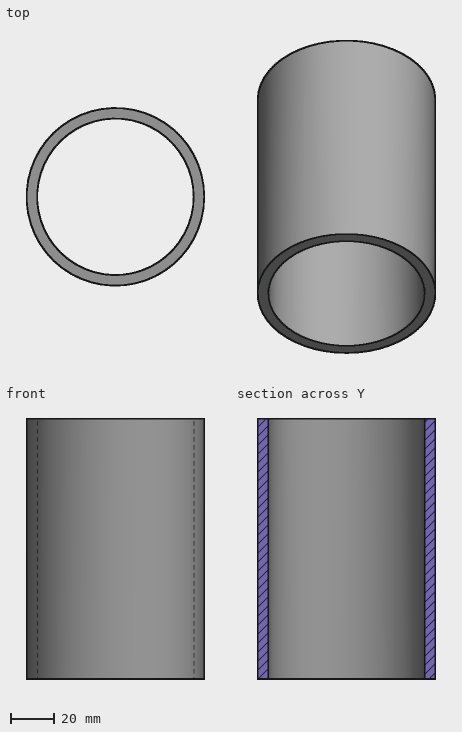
import cadquery as cq

height = 120.0
outer_diameter = 82.0
inner_diameter = 72.0

result = (
    cq.Workplane("XY")
    .circle(outer_diameter / 2)
    .circle(inner_diameter / 2)
    .extrude(height)
)